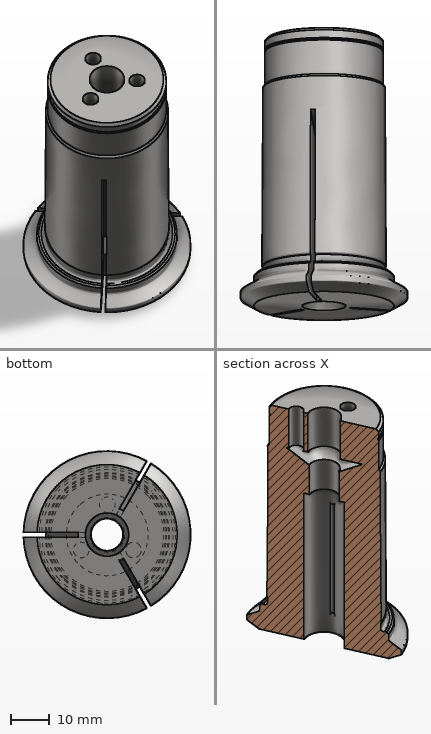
import cadquery as cq
import math


total_height = 70.0
head_radius = 30.5 / 2
head_chamfer = 0.75
ring_groove_depth = 0.3
ring_groove_top = 67.25
ring_groove_bottom = 66.6
head_bottom = 57.75

body_top = 57.15
body_top_radius = 15.75
body_bottom_radius = 16.0
body_bottom = 10.8
body_edge_radius = 15.87
body_edge_bottom = 10.3

neck_radius = 15.75
neck_top = 10.2
neck_bottom = 8.77
neck_relief_radius = 0.755
collar_radius = 18.0
collar_top = 8.1
collar_chamfer = 0.5
collar_fillet = 0.6
flange_radius = 21.5
flange_edge_fillet = 0.3
flange_slope = math.radians(30)
flange_band_top = 3.45
flange_base_radius = 18.0

bore_radius = 11.11 / 2
bore_top = 45.0
throat_radius = 4.1
stop_hole_radius = 8.92 / 2
gallery_radius = 21.0 / 2
gallery_floor_slope = math.radians(31)
gallery_top = 58.0
coolant_hole_radius = 4.0 / 2
coolant_circle_radius = 15.5 / 2
coolant_hole_angles = (30, 150, 270)

slot_width = 1.2
slot_top = 48.3
slot_floor_slope = math.radians(40)
slot_tip_height = 6.2
slot_tip_taper = math.radians(16.5)
slot_angles = (60, 180, 300)
slot_overcut = 0.6
slot_reach = flange_radius + slot_overcut


def outer_body():
    """Solid of revolution with the complete outside outline."""
    groove_radius = head_radius - ring_groove_depth
    groove_root = ring_groove_top - ring_groove_depth

    turn = math.pi / 2 - flange_slope
    rim_radius = flange_radius - flange_edge_fillet * (1 - math.cos(turn))
    rim_arc_radius = flange_radius - flange_edge_fillet * (1 - math.cos(turn / 2))
    rim_rise = flange_edge_fillet * math.sin(turn)
    rim_arc_rise = flange_edge_fillet * math.sin(turn / 2)
    rim_bottom = (rim_radius - flange_base_radius) * math.tan(flange_slope)
    band_bottom = rim_bottom + rim_rise
    rim_top = flange_band_top + rim_rise

    fillet_end_radius = collar_radius + collar_fillet * (1 - math.cos(turn))
    fillet_end = rim_top + (rim_radius - fillet_end_radius) * math.tan(flange_slope)
    fillet_start = fillet_end + collar_fillet * math.sin(turn)
    collar_arc_middle = (
        collar_radius + collar_fillet * (1 - math.cos(turn / 2)),
        fillet_start - collar_fillet * math.sin(turn / 2),
    )

    relief_center = neck_radius + neck_relief_radius
    relief_drop = neck_bottom - collar_top
    relief_outer_radius = relief_center + math.sqrt(neck_relief_radius**2 - relief_drop**2)
    relief_lowest = neck_bottom - neck_relief_radius

    outline = (
        cq.Workplane("XZ")
        .lineTo(flange_base_radius, 0)
        .lineTo(rim_radius, rim_bottom)
        .threePointArc((rim_arc_radius, band_bottom - rim_arc_rise), (flange_radius, band_bottom))
        .lineTo(flange_radius, flange_band_top)
        .threePointArc((rim_arc_radius, flange_band_top + rim_arc_rise), (rim_radius, rim_top))
        .lineTo(fillet_end_radius, fillet_end)
        .threePointArc(collar_arc_middle, (collar_radius, fillet_start))
        .lineTo(collar_radius, collar_top - collar_chamfer)
        .lineTo(collar_radius - collar_chamfer, collar_top)
        .lineTo(relief_outer_radius, collar_top)
        .threePointArc((relief_center, relief_lowest), (neck_radius, neck_bottom))
        .lineTo(neck_radius, neck_top)
        .lineTo(body_edge_radius, body_edge_bottom)
        .lineTo(body_bottom_radius, body_bottom)
        .lineTo(body_top_radius, body_top)
        .lineTo(head_radius, head_bottom)
        .lineTo(head_radius, ring_groove_bottom)
        .lineTo(groove_radius, groove_root)
        .lineTo(head_radius, ring_groove_top)
        .lineTo(head_radius, total_height - head_chamfer)
        .lineTo(head_radius - head_chamfer, total_height)
        .lineTo(0, total_height)
        .close()
    )
    return outline.revolve(360, (0, 0, 0), (0, 1, 0))


def central_bore():
    """Clamping bore, throat, funnel-shaped gallery and stop-screw hole along the axis."""
    gallery_bottom = gallery_top - (gallery_radius - throat_radius) * math.tan(gallery_floor_slope)
    outline = (
        cq.Workplane("XZ")
        .lineTo(bore_radius, 0)
        .lineTo(bore_radius, bore_top)
        .lineTo(throat_radius, bore_top)
        .lineTo(throat_radius, gallery_bottom)
        .lineTo(gallery_radius, gallery_top)
        .lineTo(stop_hole_radius, gallery_top)
        .lineTo(stop_hole_radius, total_height)
        .lineTo(0, total_height)
        .close()
    )
    return outline.revolve(360, (0, 0, 0), (0, 1, 0))


def coolant_hole(angle):
    """Hole parallel to the axis from the top face into the gallery."""
    return (
        cq.Workplane("XY", origin=(0, 0, gallery_top))
        .center(
            coolant_circle_radius * math.cos(math.radians(angle)),
            coolant_circle_radius * math.sin(math.radians(angle)),
        )
        .circle(coolant_hole_radius)
        .extrude(total_height - gallery_top)
    )


def radial_slot(angle):
    """Slot open to the outside; its sloped end runs down to the bore and its tip leaves a thin wall."""
    inner_end = slot_top - (body_top_radius - bore_radius) * math.tan(slot_floor_slope)
    outer_end = slot_top + (slot_reach - body_top_radius) * math.tan(slot_floor_slope)
    tip_radius = bore_radius + slot_tip_height * math.tan(slot_tip_taper)
    break_in = bore_radius - slot_overcut
    break_in_end = inner_end - slot_overcut * math.tan(slot_floor_slope)
    return (
        cq.Workplane("XZ", origin=(0, slot_width / 2, 0))
        .moveTo(tip_radius, 0)
        .lineTo(slot_reach, 0)
        .lineTo(slot_reach, outer_end)
        .lineTo(break_in, break_in_end)
        .lineTo(break_in, slot_tip_height)
        .lineTo(bore_radius, slot_tip_height)
        .close()
        .extrude(slot_width)
        .rotate((0, 0, 0), (0, 0, 1), angle)
    )


result = outer_body().cut(central_bore())
for hole_angle in coolant_hole_angles:
    result = result.cut(coolant_hole(hole_angle))
for slot_angle in slot_angles:
    result = result.cut(radial_slot(slot_angle))